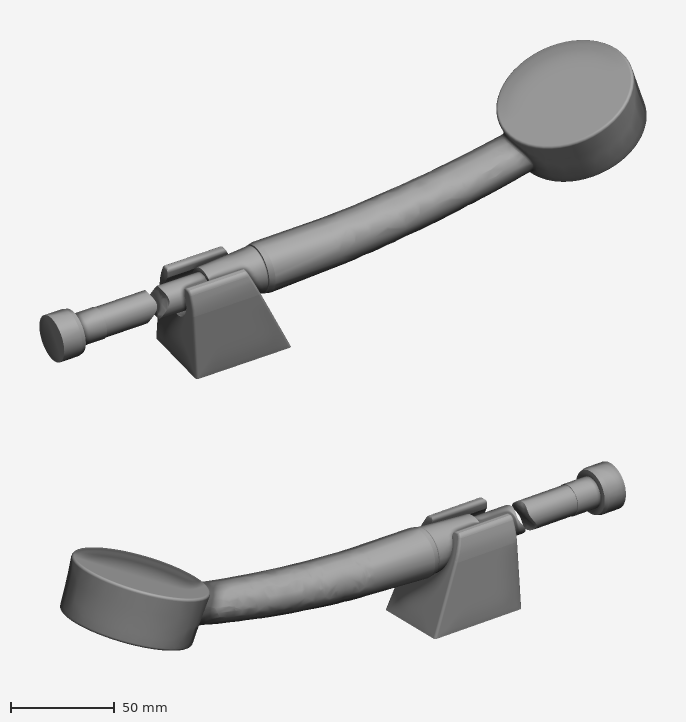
import cadquery as cq
import math

AXIS_Z = 37.0

PICK_MARGIN = 0.3

HEAD_TILT = 20.0
HEAD_Y = 285.5
HEAD_Z = 79.5
HEAD_R = 35.0
HEAD_BACK_R = 33.2
HEAD_SIDE_H = 27.5
HEAD_DOME_H = 4.5
HEAD_BACK_FILLET = 1.3
HEAD_RIM_FILLET = 1.3

PLATE_R = 32.3
PLATE_T = 3.3

HANDLE_ARC_R = 622.5
HANDLE_ARC_ANGLE = 14.5
HANDLE_SECTIONS = 5
HANDLE_START_HALF_W = 13.5
HANDLE_START_HALF_H = 12.7
HANDLE_END_HALF_W = 12.5
HANDLE_END_HALF_H = 9.5
HANDLE_ROOT_FILLET = 1.3
HANDLE_TIP_R = 12.5
HANDLE_TIP_LENGTH = 3.0

HOSE_R = 7.8
CONE_FRONT_Y = 114.0
CONE_BACK_Y = 84.0
CONE_FRONT_R = 12.0
CONE_BACK_R = 10.0
CONE_CHAMFER = 0.5
HANDLE_START_Y = CONE_FRONT_Y + HANDLE_TIP_LENGTH
FERRULE_R = 8.0
FERRULE_END_Y = 26.0
NUT_R = 12.0
NUT_LENGTH = 12.5
NUT_CHAMFER_LENGTH = 2.3
NUT_CHAMFER_DEPTH = 0.5

BREAK_Y = 59.3
BREAK_GAP = 7.0
BREAK_WAVE = 2.3

HOLDER_BACK_Y = 69.0
HOLDER_BASE_FRONT_Y = 122.2
HOLDER_TOP_FRONT_Y = 101.7
HOLDER_H = 48.0
HOLDER_BASE_HALF_W = 20.0
SHOULDER_HALF_W = 16.5
SHOULDER_Z = 35.2
LIP_ROUND = 2.0
LIP_OUTER_HALF_W = 13.7
SLOT_HALF_W = 8.0
HOLDER_EDGE_FILLET = 1.3


def turned(profile):
    """Solid of revolution about the hose axis; profile is a list of (radius, y)."""
    return (
        cq.Workplane("XY")
        .polyline(profile)
        .close()
        .revolve(360, (0, 0, 0), (0, 1, 0))
        .translate((0, 0, AXIS_Z))
    )


def to_head(shape):
    """Move a shape from the head frame (rim plane at Z = 0) to its tilted place."""
    return shape.rotate((0, 0, 0), (1, 0, 0), HEAD_TILT).translate((0, HEAD_Y, HEAD_Z))


def make_head():
    dome_bottom = -HEAD_SIDE_H - HEAD_DOME_H
    dome_r = (HEAD_BACK_R**2 + HEAD_DOME_H**2) / (2 * HEAD_DOME_H)
    mid_x = HEAD_BACK_R / 2
    mid_z = dome_bottom + dome_r - math.sqrt(dome_r**2 - mid_x**2)
    head = (
        cq.Workplane("XZ")
        .lineTo(HEAD_R, 0)
        .lineTo(HEAD_BACK_R, -HEAD_SIDE_H)
        .threePointArc((mid_x, mid_z), (0, dome_bottom))
        .close()
        .revolve(360, (0, 0, 0), (0, 1, 0))
    )
    head = head.faces(">Z").edges().fillet(HEAD_RIM_FILLET)
    back_edge = cq.selectors.BoxSelector(
        (-HEAD_R, -HEAD_R, -HEAD_SIDE_H - PICK_MARGIN),
        (HEAD_R, HEAD_R, -HEAD_SIDE_H + PICK_MARGIN),
        boundingbox=True,
    )
    return to_head(head.edges(back_edge).fillet(HEAD_BACK_FILLET))


def make_plate():
    return to_head(cq.Workplane("XY").circle(PLATE_R).extrude(-PLATE_T))


def make_handle():
    """Loft of ellipses square to the arc, with a taper down to the conical nut."""
    wires = []
    for i in range(HANDLE_SECTIONS):
        part = i / (HANDLE_SECTIONS - 1)
        angle = math.radians(part * HANDLE_ARC_ANGLE)
        y = HANDLE_START_Y + HANDLE_ARC_R * math.sin(angle)
        z = AXIS_Z + HANDLE_ARC_R * (1 - math.cos(angle))
        half_w = HANDLE_START_HALF_W + part * (HANDLE_END_HALF_W - HANDLE_START_HALF_W)
        half_h = HANDLE_START_HALF_H + part * (HANDLE_END_HALF_H - HANDLE_START_HALF_H)
        plane = cq.Plane((0, y, z), (1, 0, 0), (0, math.cos(angle), math.sin(angle)))
        wires.append(cq.Workplane(plane).ellipse(half_w, half_h).val())
    grip = cq.Workplane(cq.Solid.makeLoft(wires))
    tip = (
        cq.Workplane("XZ", origin=(0, HANDLE_START_Y, AXIS_Z))
        .ellipse(HANDLE_START_HALF_W, HANDLE_START_HALF_H)
        .workplane(offset=HANDLE_TIP_LENGTH)
        .circle(HANDLE_TIP_R)
        .loft(ruled=True)
    )
    return grip.union(tip)


def make_shower(plate):
    """Head and handle joined with a rounded root, with a recess for the spray plate."""
    shower = make_head().union(make_handle())
    head_bottom_z = HEAD_Z - HEAD_SIDE_H - HEAD_R * math.sin(math.radians(HEAD_TILT))
    root = cq.selectors.BoxSelector(
        (-HANDLE_START_HALF_W, HEAD_Y - HEAD_R, head_bottom_z),
        (HANDLE_START_HALF_W, HEAD_Y - HEAD_R / 2, HEAD_Z),
        boundingbox=True,
    )
    return shower.edges(root).fillet(HANDLE_ROOT_FILLET).cut(plate)


def hose_end_side_of_break(shift):
    """Block around the hose from Y = 0 to the wavy break, which is moved by shift along Y."""
    y = BREAK_Y + shift
    wave = [
        (y + BREAK_WAVE, AXIS_Z + HOSE_R / 2),
        (y, AXIS_Z),
        (y - BREAK_WAVE, AXIS_Z - HOSE_R / 2),
        (y - BREAK_WAVE / 2, AXIS_Z - HOSE_R),
    ]
    return (
        cq.Workplane("YZ")
        .moveTo(0, AXIS_Z + HOSE_R)
        .lineTo(y + BREAK_WAVE / 2, AXIS_Z + HOSE_R)
        .spline(wave, includeCurrent=True)
        .lineTo(0, AXIS_Z - HOSE_R)
        .close()
        .extrude(2 * HOSE_R, both=True)
    )


def make_upper_hose():
    cone_edge_r = CONE_FRONT_R - CONE_CHAMFER
    hose = turned([
        (0, BREAK_Y - BREAK_GAP),
        (HOSE_R, BREAK_Y - BREAK_GAP),
        (HOSE_R, CONE_BACK_Y),
        (CONE_BACK_R, CONE_BACK_Y),
        (CONE_FRONT_R, CONE_FRONT_Y - CONE_CHAMFER),
        (cone_edge_r, CONE_FRONT_Y),
        (0, CONE_FRONT_Y),
    ])
    return hose.cut(hose_end_side_of_break(0))


def make_lower_hose():
    nut_edge_r = NUT_R - NUT_CHAMFER_DEPTH
    nut = turned([
        (0, 0),
        (NUT_R, 0),
        (NUT_R, NUT_LENGTH - NUT_CHAMFER_LENGTH),
        (nut_edge_r, NUT_LENGTH),
        (FERRULE_R, NUT_LENGTH),
        (FERRULE_R, FERRULE_END_Y),
        (0, FERRULE_END_Y),
    ])
    hose = turned([(0, FERRULE_END_Y), (HOSE_R, FERRULE_END_Y), (HOSE_R, BREAK_Y), (0, BREAK_Y)])
    return nut.union(hose.intersect(hose_end_side_of_break(-BREAK_GAP)))


def make_cutout():
    """Tapered bore that fits the conical nut, open at the top through a slot with rounded lips."""
    bore_slope = (CONE_FRONT_R - CONE_BACK_R) / (CONE_FRONT_Y - CONE_CHAMFER - CONE_BACK_Y)
    mouth_r = CONE_FRONT_R + bore_slope * (HOLDER_BASE_FRONT_Y - CONE_FRONT_Y + CONE_CHAMFER)
    bore = turned([
        (0, HOLDER_BACK_Y),
        (CONE_BACK_R, HOLDER_BACK_Y),
        (CONE_BACK_R, CONE_BACK_Y),
        (mouth_r, HOLDER_BASE_FRONT_Y),
        (0, HOLDER_BASE_FRONT_Y),
    ])
    lip_z = HOLDER_H - LIP_ROUND
    lip_x = SLOT_HALF_W + LIP_ROUND
    lip_mid = LIP_ROUND * (1 - math.sqrt(0.5))
    slot = (
        cq.Workplane("XZ", origin=(0, HOLDER_BASE_FRONT_Y, 0))
        .moveTo(-SLOT_HALF_W, AXIS_Z)
        .lineTo(SLOT_HALF_W, AXIS_Z)
        .lineTo(SLOT_HALF_W, lip_z)
        .threePointArc((SLOT_HALF_W + lip_mid, HOLDER_H - lip_mid), (lip_x, HOLDER_H))
        .lineTo(-lip_x, HOLDER_H)
        .threePointArc((-SLOT_HALF_W - lip_mid, HOLDER_H - lip_mid), (-SLOT_HALF_W, lip_z))
        .close()
        .extrude(HOLDER_BASE_FRONT_Y - HOLDER_BACK_Y)
    )
    return bore.union(slot)


def make_holder():
    """Tapered block with rounded shoulders and a sloping front."""
    lip_z = HOLDER_H - LIP_ROUND
    half_block = (
        cq.Workplane("XZ", origin=(0, HOLDER_BASE_FRONT_Y, 0))
        .lineTo(HOLDER_BASE_HALF_W, 0)
        .lineTo(SHOULDER_HALF_W, SHOULDER_Z)
        .tangentArcPoint((LIP_OUTER_HALF_W, lip_z), relative=False)
        .tangentArcPoint((LIP_OUTER_HALF_W - LIP_ROUND, HOLDER_H), relative=False)
        .lineTo(0, HOLDER_H)
        .close()
        .extrude(HOLDER_BASE_FRONT_Y - HOLDER_BACK_Y)
    )
    block = half_block.union(half_block.mirror("YZ"))
    side = (
        cq.Workplane("YZ")
        .moveTo(HOLDER_BACK_Y, 0)
        .lineTo(HOLDER_BASE_FRONT_Y, 0)
        .lineTo(HOLDER_TOP_FRONT_Y, HOLDER_H)
        .lineTo(HOLDER_BACK_Y, HOLDER_H)
        .close()
        .extrude(HOLDER_BASE_HALF_W, both=True)
    )
    holder = block.intersect(side)
    holder = holder.faces("<Y or >Y").edges("not <Z").fillet(HOLDER_EDGE_FILLET)
    return holder.cut(make_cutout())


plate = make_plate()
shower = make_shower(plate)
holder = make_holder()
upper_hose = make_upper_hose()
lower_hose = make_lower_hose()

result = cq.Compound.makeCompound(
    [shower.val(), plate.val(), holder.val(), upper_hose.val(), lower_hose.val()]
)